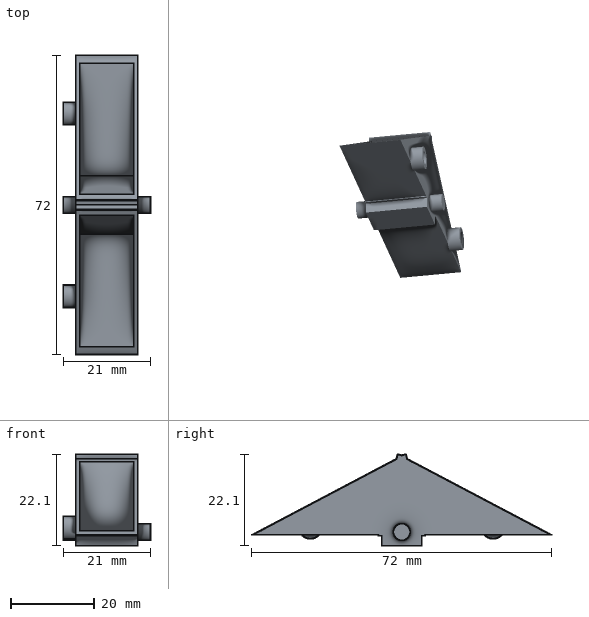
import cadquery as cq

length = 72.0
width = 15.0
wall = 1.0
half_length = length / 2
half_width = width / 2

ridge_base_half = 1.3
ridge_top_half = 1.0
ridge_base_z = 18.3
ridge_top_z = 19.45
groove_depth = 0.3

foot_half = 4.8
foot_depth = 2.6
pad_half = 5.6
pad_depth = 0.2

pocket_top_y = 2.5
pocket_foot_y = 7.0
pocket_overshoot = 3.6

stub_length = 3.0
bushing_diameter = 5.5
bushing_bore = 3.2
bushing_y = 21.95
bushing_z = 1.8
pin_diameter = 4.0
pin_z = 0.7

ramp_slope = ridge_base_z / (half_length - ridge_base_half)


def ramp_z(y):
    """Height of the ramp surface at distance y from the middle."""
    return (half_length - y) * ramp_slope


def make_pocket(side):
    """Cutter with a level floor and a leaning inner wall, open through the ramp on one side."""
    floor_end_y = half_length - wall / ramp_slope
    rim_z = ramp_z(pocket_top_y)
    outline = [
        (side * floor_end_y, wall),
        (side * pocket_foot_y, wall),
        (side * pocket_top_y, rim_z),
        (side * pocket_top_y, rim_z + pocket_overshoot),
        (side * floor_end_y, wall + pocket_overshoot),
    ]
    return cq.Workplane("YZ").polyline(outline).close().extrude(half_width - wall, both=True)


def make_housing():
    """Double ramp with its ridge, foot and two pockets."""
    right_half = [
        (foot_half, -foot_depth),
        (foot_half, -pad_depth),
        (pad_half, -pad_depth),
        (pad_half, 0),
        (half_length, 0),
        (ridge_base_half, ridge_base_z),
        (ridge_top_half, ridge_top_z),
    ]
    left_half = [(-y, z) for y, z in reversed(right_half)]
    groove_bottom = (0, ridge_top_z - groove_depth)
    outline = right_half + [groove_bottom] + left_half
    body = cq.Workplane("YZ").polyline(outline).close().extrude(half_width, both=True)
    for side in (-1, 1):
        body = body.cut(make_pocket(side))
    return body


def make_bushing(y):
    """Tube standing on the -X face of the housing."""
    return (
        cq.Workplane("YZ", origin=(-half_width, y, bushing_z))
        .circle(bushing_diameter / 2)
        .circle(bushing_bore / 2)
        .extrude(-stub_length)
    )


def make_pin(side):
    """Solid pivot pin standing on one side face of the housing."""
    return (
        cq.Workplane("YZ", origin=(side * half_width, 0, pin_z))
        .circle(pin_diameter / 2)
        .extrude(side * stub_length)
    )


housing = make_housing()
bushings = [make_bushing(side * bushing_y) for side in (-1, 1)]
pins = [make_pin(side) for side in (-1, 1)]

result = cq.Compound.makeCompound(
    [housing.val()] + [body.val() for body in bushings + pins]
)